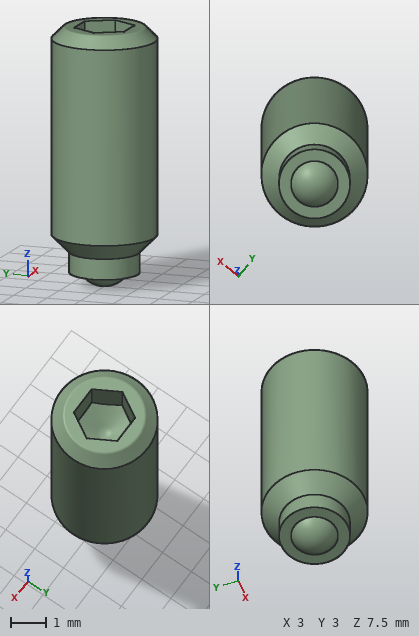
import cadquery as cq
import math

total_length = 7.5
screw_diameter = 3.0

ball_diameter = 1.5
ball_projection = 0.4

nose_diameter = 2.0
nose_length = 0.6
top_chamfer = 0.345
top_edge_radius = 0.1

socket_across_flats = 1.5
socket_corner_depth = 1.0
socket_cone_angle = 120.0

screw_radius = screw_diameter / 2
nose_radius = nose_diameter / 2
ball_radius = ball_diameter / 2
socket_corner_radius = socket_across_flats / math.sqrt(3)
socket_cone_height = socket_corner_radius / math.tan(math.radians(socket_cone_angle / 2))
nose_top = ball_projection + nose_length
taper_top = nose_top + screw_radius - nose_radius


def make_ball():
    """Full sphere whose lowest point is at Z = 0."""
    return cq.Workplane("XY").sphere(ball_radius).translate((0, 0, ball_radius))


def make_blank():
    """Turned screw body: nose, taper, shank and chamfered top with a rounded edge."""
    blank = (
        cq.Workplane("XZ")
        .moveTo(0, ball_projection)
        .lineTo(nose_radius, ball_projection)
        .lineTo(nose_radius, nose_top)
        .lineTo(screw_radius, taper_top)
        .lineTo(screw_radius, total_length - top_chamfer)
        .lineTo(screw_radius - top_chamfer, total_length)
        .lineTo(0, total_length)
        .close()
        .revolve(360, (0, 0, 0), (0, 1, 0))
    )
    return blank.faces(">Z").edges().fillet(top_edge_radius)


def make_socket():
    """Hexagonal prism bounded below by a cone that passes through its bottom corners."""
    corner_level = total_length - socket_corner_depth
    hexagon = (
        cq.Workplane("XY", origin=(0, 0, corner_level - socket_cone_height))
        .polygon(6, 2 * socket_corner_radius)
        .extrude(socket_corner_depth + socket_cone_height)
    )
    drill = (
        cq.Workplane("XZ")
        .moveTo(0, corner_level - socket_cone_height)
        .lineTo(socket_corner_radius, corner_level)
        .lineTo(socket_corner_radius, total_length)
        .lineTo(0, total_length)
        .close()
        .revolve(360, (0, 0, 0), (0, 1, 0))
    )
    return hexagon.intersect(drill)


ball = make_ball()
screw = make_blank().cut(make_socket()).cut(ball)

result = cq.Compound.makeCompound([screw.val(), ball.val()])